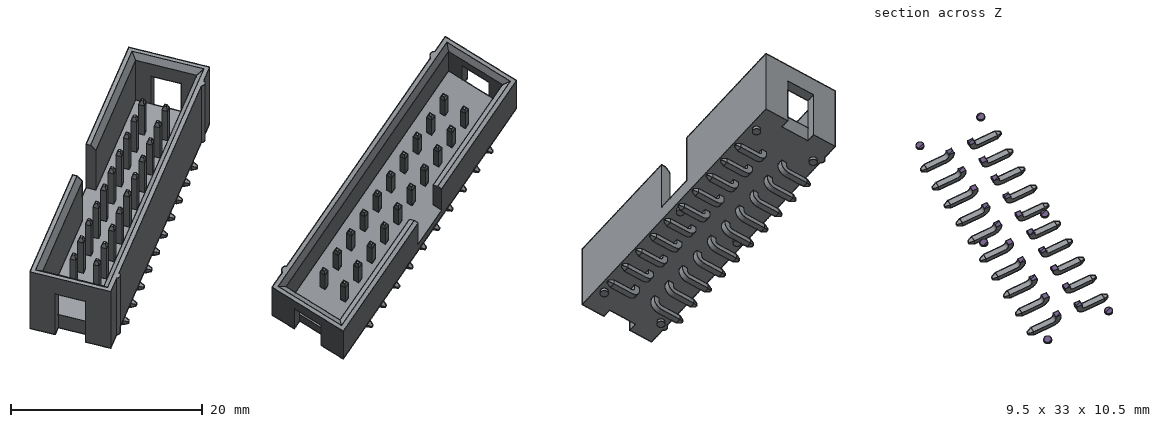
import cadquery as cq


length = 33.02
width = 8.88
height = 8.88
side_wall = 1.1
end_wall = 1.02
floor_thickness = 2.08
mouth_chamfer = 0.6

key_width = 4.5
end_slot_width = 3.3
end_slot_height = 6.37

round_diameter = 0.85
rib_projection = 0.25
rib_spacing = 28.25
foot_height = 0.4
foot_spacing_x = 7.25
foot_spacing_y = 13.67

pin_rows = 10
housing_pitches = 13
pitch = length / housing_pitches
pin_size = 0.63
tip_size = 0.25
tip_length = 0.53
pin_top = height - 1.55
leg_underside = -1.45
leg_reach = 4.75
bend_radius = 0.4
end_pin_drop = 0.15


def make_ribs():
    """Full-height round ribs that stand partly out of the +X wall."""
    rib_x = width / 2 + rib_projection - round_diameter / 2
    return (
        cq.Workplane("XY")
        .pushPoints([(rib_x, -rib_spacing / 2), (rib_x, rib_spacing / 2)])
        .circle(round_diameter / 2)
        .extrude(height)
    )


def make_housing():
    """Open-topped box with ribs, a chamfered mouth, a key notch and two end slots."""
    body = cq.Workplane("XY").box(width, length, height, centered=(True, True, False))
    body = body.union(make_ribs())

    cavity_width = width - 2 * side_wall
    cavity_length = length - 2 * end_wall
    cavity = (
        cq.Workplane("XY", origin=(0, 0, floor_thickness))
        .rect(cavity_width, cavity_length)
        .extrude(height - floor_thickness)
    )
    mouth = (
        cq.Workplane("XY", origin=(0, 0, height - mouth_chamfer))
        .rect(cavity_width, cavity_length)
        .workplane(offset=mouth_chamfer)
        .rect(cavity_width + 2 * mouth_chamfer, cavity_length + 2 * mouth_chamfer)
        .loft(combine=True)
    )
    key_notch = (
        cq.Workplane("XY", origin=(-width / 2, 0, floor_thickness))
        .rect(2 * side_wall, key_width)
        .extrude(height - floor_thickness)
    )
    end_slots = (
        cq.Workplane("XY")
        .pushPoints([(0, -length / 2), (0, length / 2)])
        .rect(end_slot_width, 2 * end_wall)
        .extrude(end_slot_height)
    )
    return body.cut(cavity).cut(mouth).cut(key_notch).cut(end_slots)


def make_feet():
    """Two rows of three round standoffs under the housing."""
    return (
        cq.Workplane("XY")
        .rarray(foot_spacing_x, foot_spacing_y, 2, 3)
        .circle(round_diameter / 2)
        .extrude(-foot_height)
    )


def make_tip(plane):
    """Tapered square pin end that grows along the normal of the plane."""
    return (
        cq.Workplane(plane)
        .rect(pin_size, pin_size)
        .workplane(offset=tip_length)
        .rect(tip_size, tip_size)
        .loft(combine=True)
    )


def make_pin():
    """Square pin of the +X row at Y = 0, bent outwards into a horizontal leg."""
    pin_x = pitch / 2
    leg_z = leg_underside + pin_size / 2
    bend_centre_radius = bend_radius + pin_size / 2
    shoulder_z = pin_top - tip_length
    leg_end = leg_reach - tip_length

    path = (
        cq.Workplane("XZ")
        .moveTo(pin_x, shoulder_z)
        .lineTo(pin_x, leg_z + bend_centre_radius)
        .tangentArcPoint((bend_centre_radius, -bend_centre_radius), relative=True)
        .lineTo(leg_end, leg_z)
    )
    bent_bar = (
        cq.Workplane("XY", origin=(pin_x, 0, shoulder_z))
        .rect(pin_size, pin_size)
        .sweep(path)
    )
    upper_tip = make_tip(cq.Plane((pin_x, 0, shoulder_z), (1, 0, 0), (0, 0, 1)))
    leg_tip = make_tip(cq.Plane((leg_end, 0, leg_z), (0, 1, 0), (1, 0, 0)))
    return bent_bar.union(upper_tip).union(leg_tip)


result = make_housing().union(make_feet())

right_pin = make_pin()
left_pin = right_pin.mirror("YZ")
for row in range(pin_rows):
    row_y = (row - (pin_rows - 1) / 2) * pitch
    drop = end_pin_drop if row == pin_rows - 1 else 0
    for pin in (left_pin, right_pin):
        result = result.union(pin.translate((0, row_y, -drop)))